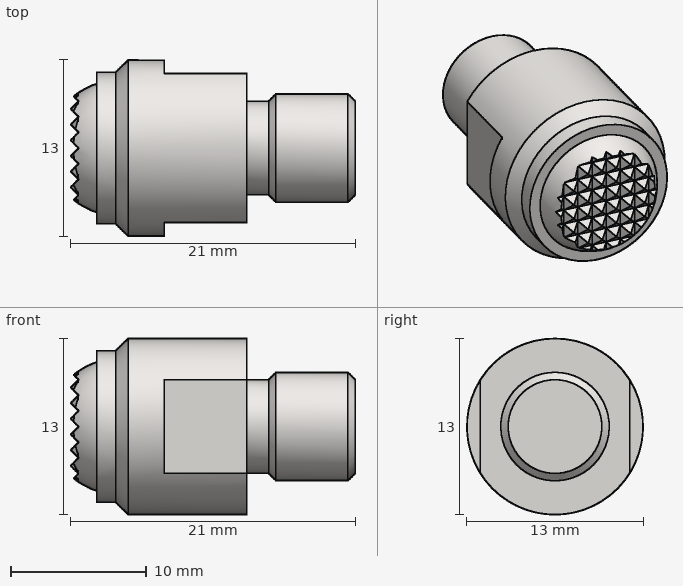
import cadquery as cq
import math

rim_front = 1.91
rim_back = 3.32
bevel_back = 4.25
body_back = 13.0
total_length = 21.0

body_diameter = 13.0
rim_diameter = 11.2
neck_diameter = 6.9
neck_length = 1.6
stud_diameter = 8.0
stud_chamfer = (stud_diameter - neck_diameter) / 2
flat_width = 11.0
flat_length = 6.1

ball_diameter = 10.0
ball_center_x = 3.45
tooth_pitch = 1.15
tooth_depth = tooth_pitch / 2


def make_ball_blank():
    """Ball turned about X, truncated by a flat at the tooth tips; it also fills the socket."""
    ball_radius = ball_diameter / 2
    flat_radius = math.sqrt(ball_radius**2 - ball_center_x**2)
    return (
        cq.Workplane("XZ")
        .moveTo(0, 0)
        .lineTo(0, flat_radius)
        .threePointArc((ball_center_x, ball_radius), (ball_center_x + ball_radius, 0))
        .close()
        .revolve(360, (0, 0, 0), (1, 0, 0))
    )


def make_groove(offset):
    """V-shaped cutter running along Z, with its root at Y = offset."""
    half_length = ball_diameter / 2
    return (
        cq.Workplane("XY", origin=(0, 0, -half_length))
        .moveTo(tooth_depth, offset)
        .lineTo(0, offset + tooth_pitch / 2)
        .lineTo(0, offset - tooth_pitch / 2)
        .close()
        .extrude(ball_diameter)
    )


def make_gripper_ball():
    """Ball whose flat front is crossed by V grooves that leave pyramid teeth."""
    ball = make_ball_blank()
    grooves_each_side = int(ball_diameter / 2 / tooth_pitch)
    for index in range(-grooves_each_side, grooves_each_side + 1):
        upright_groove = make_groove(index * tooth_pitch)
        level_groove = upright_groove.rotate((0, 0, 0), (1, 0, 0), 90)
        ball = ball.cut(upright_groove).cut(level_groove)
    return ball


def make_turned_blank():
    """Solid of revolution about X: rim, bevel, body, undercut neck and chamfered stud."""
    neck_back = body_back + neck_length
    return (
        cq.Workplane("XZ")
        .moveTo(rim_front, 0)
        .lineTo(rim_front, rim_diameter / 2)
        .lineTo(rim_back, rim_diameter / 2)
        .lineTo(bevel_back, body_diameter / 2)
        .lineTo(body_back, body_diameter / 2)
        .lineTo(body_back, neck_diameter / 2)
        .lineTo(neck_back, neck_diameter / 2)
        .lineTo(neck_back + stud_chamfer, stud_diameter / 2)
        .lineTo(total_length - stud_chamfer, stud_diameter / 2)
        .lineTo(total_length, neck_diameter / 2)
        .lineTo(total_length, 0)
        .close()
        .revolve(360, (0, 0, 0), (1, 0, 0))
    )


def make_housing():
    """Turned blank with a spherical socket and two wrench flats facing -Y and +Y."""
    wrench_slab = (
        cq.Workplane("XY")
        .box(flat_length, flat_width, body_diameter)
        .translate((body_back - flat_length / 2, 0, 0))
    )
    flat_cutter = (
        cq.Workplane("XY")
        .box(flat_length, 2 * body_diameter, 2 * body_diameter)
        .translate((body_back - flat_length / 2, 0, 0))
        .cut(wrench_slab)
    )
    return make_turned_blank().cut(flat_cutter).cut(make_ball_blank())


housing = make_housing()
gripper_ball = make_gripper_ball()
result = cq.Compound.makeCompound([housing.val(), gripper_ball.val()])